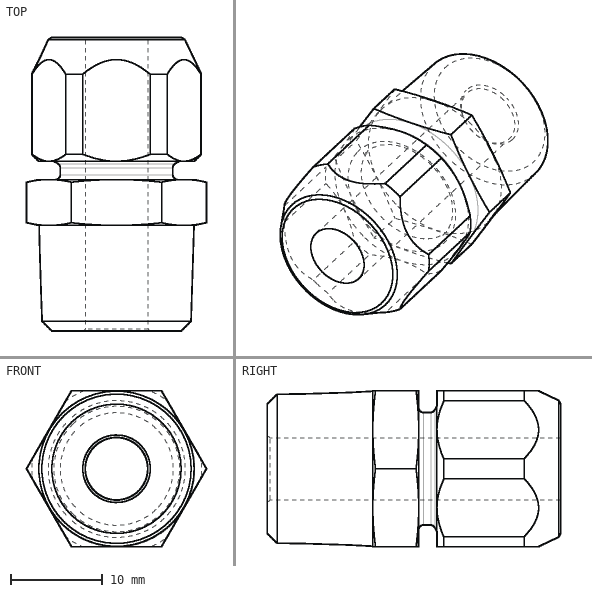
import cadquery as cq
import math

total_length = 32.0
across_flats = 17.0
flat_radius = across_flats / 2
corner_radius = flat_radius / math.cos(math.radians(30))

flange_start = 11.52
flange_end = 16.5
nut_start = 18.5

stub_tip_radius = 8.13
stub_chamfer = 1.1
stub_taper = 1 / 16

flange_chamfer = 0.3

neck_radius = 6.15
flare_length = 0.25
flare_angle = math.radians(60)
neck_fillet = 0.5

nut_radius = 9.25
nut_chamfer = nut_radius - flat_radius
cone_length = 4.0
rim_length = 0.25
rim_cone_radius = 7.45
end_radius = 7.05

bore_radius = 3.4
bore_chamfer = 0.3


def revolve(profile):
    """Turn a closed (radius, y) profile about the Y axis."""
    return profile.close().revolve(360, (0, 0, 0), (0, 1, 0))


def hexagon(start, end):
    """Hexagonal prism with flats facing +Z and -Z."""
    plane = cq.Plane(origin=(0, start, 0), xDir=(1, 0, 0), normal=(0, 1, 0))
    return cq.Workplane(plane).polygon(6, 2 * corner_radius).extrude(end - start)


def make_stub():
    root_radius = stub_tip_radius + (flange_start - stub_chamfer) * stub_taper / 2
    return revolve(
        cq.Workplane("XY")
        .lineTo(stub_tip_radius - stub_chamfer, 0)
        .lineTo(stub_tip_radius, stub_chamfer)
        .lineTo(root_radius, flange_start)
        .lineTo(0, flange_start)
    )


def make_flange():
    envelope = revolve(
        cq.Workplane("XY")
        .moveTo(0, flange_start)
        .lineTo(flat_radius, flange_start)
        .lineTo(corner_radius, flange_start + flange_chamfer)
        .lineTo(corner_radius, flange_end - flange_chamfer)
        .lineTo(flat_radius, flange_end)
        .lineTo(0, flange_end)
    )
    return hexagon(flange_start, flange_end).intersect(envelope)


def make_neck():
    flare_start = nut_start - flare_length
    arc_start = flare_start - neck_fillet * math.sin(flare_angle)
    flare_inner_radius = neck_radius + neck_fillet * (1 - math.cos(flare_angle))
    flare_outer_radius = flare_inner_radius + flare_length * math.tan(flare_angle)
    return revolve(
        cq.Workplane("XY")
        .moveTo(0, flange_end)
        .lineTo(neck_radius + neck_fillet, flange_end)
        .radiusArc((neck_radius, flange_end + neck_fillet), neck_fillet)
        .lineTo(neck_radius, arc_start)
        .radiusArc((flare_inner_radius, flare_start), neck_fillet)
        .lineTo(flare_outer_radius, nut_start)
        .lineTo(0, nut_start)
    )


def make_nut():
    envelope = revolve(
        cq.Workplane("XY")
        .moveTo(0, nut_start)
        .lineTo(flat_radius, nut_start)
        .lineTo(nut_radius, nut_start + nut_chamfer)
        .lineTo(nut_radius, total_length - cone_length)
        .lineTo(rim_cone_radius, total_length - rim_length)
        .lineTo(end_radius, total_length)
        .lineTo(0, total_length)
    )
    return hexagon(nut_start, total_length).intersect(envelope)


def make_bore():
    return revolve(
        cq.Workplane("XY")
        .lineTo(bore_radius + bore_chamfer, 0)
        .lineTo(bore_radius, bore_chamfer)
        .lineTo(bore_radius, total_length)
        .lineTo(0, total_length)
    )


result = make_stub().union(make_flange()).union(make_neck()).union(make_nut()).cut(make_bore())